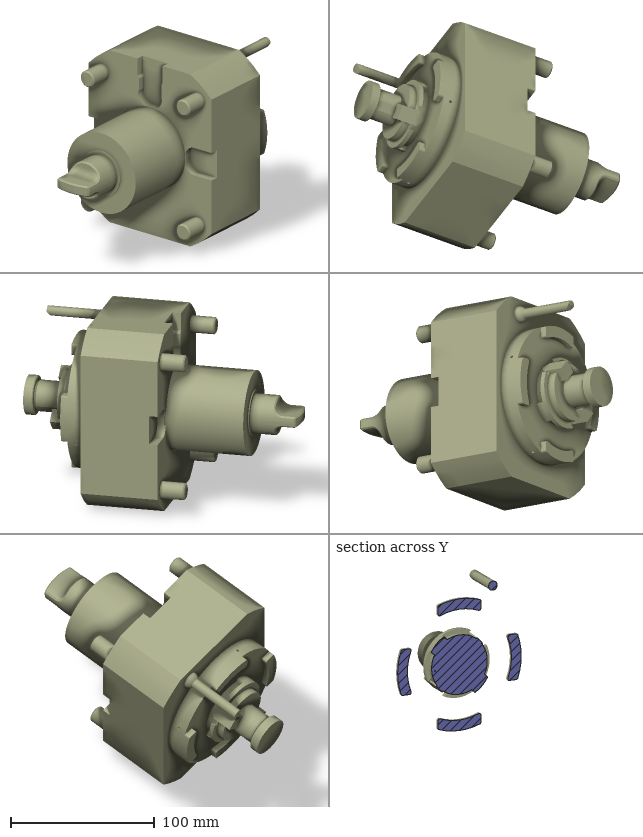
import cadquery as cq
import math


overall_length = 197.5

block_width = 108.0
block_height = 130.0
block_depth = 55.3
corner_round_diameter = 148.1

slot_depth = 6.1
slot_end = 30.8
side_slot_width = 20.7
top_slot_inner_width = 21.0
top_slot_neck_width = 19.8
top_slot_mouth_width = 22.1
top_slot_neck_start = 41.0
top_slot_neck_end = 50.2
top_slot_mouth_start = 52.1
slot_end_flat = 4.3

tube_diameter = 60.0
tube_length = 55.3
groove_diameter = 62.2
groove_depth = 1.0
collar_diameter = 33.5
collar_bore = 28.5
collar_height = 0.8

pin_diameter = 12.0
pin_length = 17.4
pin_chamfer = 1.0
pin_x = 42.0
pin_z = 47.0

shaft_diameter = 28.0
shaft_front = 90.7
blade_thickness = 7.9
blade_fillet = 6.0
blade_shoulder = 73.3
blade_tip_radius = 41.5
blade_chamfer = 1.0

disc_diameter = 96.0
disc_height = 11.8
lug_height = 4.3
lug_width = 33.5
lug_inner_diameter = 80.2
lug_corner_radius = 1.5
radial_hole_diameter = 2.2
radial_hole_depth = 4.0
radial_hole_height = 6.1
radial_hole_angle = 22.5

hub_diameter = 43.5
hub_height = 5.3
flange_diameter = 50.0
flange_height = 3.2
step_diameter = 40.3
step_height = 5.3
diagonal_angle = 45.0

notch_width = 17.4
pad_width = 14.2

tab_height = 5.3
tab_inner = 12.2
tab_outer = 22.3
tab_width = 10.7
tab_point_height = 4.5

neck_diameter = 22.1
neck_flat_distance = 10.5
neck_gap = 0.8
neck_chamfer = 0.8
neck_core_diameter = 20.5
button_height = 6.7
button_chamfer = 0.5

cable_diameter = 7.0
cable_end = 99.3
cable_x = 25.9
cable_z = 54.0
cable_bevel_length = 2.8
cable_bevel_height = 3.5
grommet_radius = 6.0

disc_top = block_depth + disc_height
hub_top = disc_top + hub_height
flange_top = hub_top + flange_height
step_top = flange_top + step_height
tab_top = step_top + tab_height
rear_end = overall_length - shaft_front
button_start = rear_end - button_height


def cylinder(diameter, start, end, x=0, z=0):
    """Cylinder along Y between two Y positions."""
    plane = cq.Workplane("XZ", origin=(x, start, z))
    return plane.circle(diameter / 2).extrude(start - end)


def box(x_range, y_range, z_range):
    """Box given by its limits along each axis."""
    sizes = [high - low for low, high in (x_range, y_range, z_range)]
    corner = cq.Vector(x_range[0], y_range[0], z_range[0])
    return cq.Workplane("XY").box(*sizes, centered=False).translate(corner)


def about_y(shape, angle):
    """Copy of a shape turned about the drive axis."""
    return shape.rotate((0, 0, 0), (0, 1, 0), angle)


def side_slot():
    """Slot from the +X side with rounded inner corners."""
    half = side_slot_width / 2
    radius = half - slot_end_flat / 2
    slot = box((slot_end, block_width), (0, slot_depth), (-half, half))
    return slot.edges("|Y and <X").fillet(radius)


def top_slot():
    """Slot from the top edge, waisted between its rounded end and its mouth."""
    end_half = top_slot_inner_width / 2
    neck_half = top_slot_neck_width / 2
    mouth_half = top_slot_mouth_width / 2
    flat_half = slot_end_flat / 2
    radius = end_half - flat_half
    arc_offset = radius * (1 - math.sqrt(0.5))
    half_slot = (
        cq.Workplane("XZ")
        .moveTo(0, slot_end)
        .lineTo(flat_half, slot_end)
        .threePointArc((end_half - arc_offset, slot_end + arc_offset), (end_half, slot_end + radius))
        .lineTo(neck_half, top_slot_neck_start)
        .lineTo(neck_half, top_slot_neck_end)
        .lineTo(mouth_half, top_slot_mouth_start)
        .lineTo(mouth_half, block_height)
        .lineTo(0, block_height)
        .close()
        .extrude(-slot_depth)
    )
    return half_slot.union(half_slot.mirror("YZ"))


def housing():
    """Block with rounded corners, slots, groove, front tube and pins."""
    half_width = block_width / 2
    half_height = block_height / 2
    body = box((-half_width, half_width), (0, block_depth), (-half_height, half_height))
    body = body.intersect(cylinder(corner_round_diameter, 0, block_depth))
    body = body.cut(side_slot()).cut(about_y(side_slot(), 180)).cut(top_slot())
    body = body.cut(cylinder(groove_diameter, 0, groove_depth))
    body = body.union(cylinder(tube_diameter, -tube_length, groove_depth))
    collar = cylinder(collar_diameter, -tube_length - collar_height, -tube_length)
    collar = collar.cut(cylinder(collar_bore, -tube_length - collar_height, -tube_length))
    body = body.union(collar)
    for x in (-pin_x, pin_x):
        for z in (-pin_z, pin_z):
            pin = cylinder(pin_diameter, -pin_length, slot_depth, x, z)
            body = body.union(pin.faces("<Y").chamfer(pin_chamfer))
    return body


def shaft():
    """Front shaft, milled on both sides to a blade with a curved tip."""
    radius = shaft_diameter / 2
    half_blade = blade_thickness / 2
    arc_offset = blade_fillet * (1 - math.sqrt(0.5))
    body = cylinder(shaft_diameter, -shaft_front, -tube_length)
    tip = cylinder(2 * blade_tip_radius, -radius, radius).rotate((0, 0, 0), (1, 0, 0), 90)
    tip = tip.translate((0, blade_tip_radius - shaft_front, 0))
    body = body.intersect(tip)
    upper_cut = (
        cq.Workplane("YZ")
        .moveTo(-shaft_front, half_blade)
        .lineTo(-blade_shoulder - blade_fillet, half_blade)
        .threePointArc(
            (-blade_shoulder - arc_offset, half_blade + arc_offset),
            (-blade_shoulder, half_blade + blade_fillet),
        )
        .lineTo(-blade_shoulder, radius)
        .lineTo(-shaft_front, radius)
        .close()
        .extrude(radius, both=True)
    )
    body = body.cut(upper_cut).cut(upper_cut.mirror("XY"))
    milled_end = cq.selectors.BoxSelector(
        (-shaft_diameter, -2 * shaft_front, -shaft_diameter),
        (shaft_diameter, -blade_shoulder + blade_chamfer, shaft_diameter),
    )
    return body.edges(milled_end).edges("not(|X)").chamfer(blade_chamfer)


def lug():
    """Lug on the +X side of the disc rim."""
    ring = cylinder(disc_diameter, disc_top, disc_top + lug_height)
    ring = ring.cut(cylinder(lug_inner_diameter, disc_top, disc_top + lug_height))
    half = lug_width / 2
    strip = box((0, disc_diameter), (disc_top, disc_top + lug_height), (-half, half))
    return ring.intersect(strip).edges("|Y").fillet(lug_corner_radius)


def rear_disc():
    """Disc with a lug on each side and radial holes between them."""
    lug_top = disc_top + lug_height
    disc = cylinder(disc_diameter, block_depth, lug_top)
    waste = cylinder(2 * disc_diameter, disc_top, lug_top)
    for quarter in range(4):
        waste = waste.cut(about_y(lug(), 90 * quarter))
    disc = disc.cut(waste)
    hole_bottom = disc_diameter / 2 - radial_hole_depth
    hole = (
        cq.Workplane("YZ", origin=(hole_bottom, block_depth + radial_hole_height, 0))
        .circle(radial_hole_diameter / 2)
        .extrude(2 * radial_hole_depth)
    )
    for quarter in range(4):
        disc = disc.cut(about_y(hole, 90 * quarter - radial_hole_angle))
    return disc


def tab():
    """Catch tab on the +X side of the neck, pointed where it meets the disc."""
    half = tab_width / 2
    point_end = disc_top + tab_point_height
    outline = [
        (disc_top, 0),
        (point_end, half),
        (tab_top, half),
        (tab_top, -half),
        (point_end, -half),
    ]
    plane = cq.Workplane("YZ", origin=(tab_inner, 0, 0))
    return plane.polyline(outline).close().extrude(tab_outer - tab_inner)


def diagonal_bar(width, angle):
    """Bar across the hub, turned about the drive axis from the X direction."""
    half = width / 2
    bar = box((-flange_diameter, flange_diameter), (disc_top, flange_top), (-half, half))
    return about_y(bar, angle)


def hub():
    """Stepped hub with a notched flange, two pads under it and two catch tabs."""
    body = cylinder(hub_diameter, disc_top, flange_top)
    rim = cylinder(flange_diameter, hub_top, flange_top)
    rim = rim.cut(diagonal_bar(notch_width, -diagonal_angle))
    pads = cylinder(flange_diameter, disc_top, flange_top)
    pads = pads.intersect(diagonal_bar(pad_width, diagonal_angle))
    body = body.union(rim).union(pads)
    body = body.union(cylinder(step_diameter, flange_top, step_top))
    for angle in (-diagonal_angle, 180 - diagonal_angle):
        body = body.union(about_y(tab(), angle))
    return body


def neck_and_button():
    """Rear neck with one diagonal flat, ending in a button."""
    neck_start = step_top + neck_gap
    neck_end = button_start - neck_gap
    neck = cylinder(neck_diameter, neck_start, neck_end).faces("|Y").chamfer(neck_chamfer)
    flat = box((neck_flat_distance, neck_diameter), (neck_start, neck_end), (-neck_diameter, neck_diameter))
    neck = neck.cut(about_y(flat, 180 - diagonal_angle))
    core = cylinder(neck_core_diameter, step_top, button_start)
    button = cylinder(shaft_diameter, button_start, rear_end)
    return neck.union(core).union(button.faces("<Y").chamfer(button_chamfer))


def cable():
    """Cable with a bevelled end, rising from a domed grommet."""
    body = cylinder(cable_diameter, block_depth, cable_end, cable_x, cable_z)
    bottom = cable_z - cable_diameter / 2
    bevel = (
        cq.Workplane("YZ")
        .polyline([
            (cable_end - cable_bevel_length, bottom),
            (cable_end, bottom),
            (cable_end, bottom + cable_bevel_height),
        ])
        .close()
        .extrude(block_width)
    )
    grommet = cq.Workplane("XY").sphere(grommet_radius).translate((cable_x, block_depth, cable_z))
    return body.cut(bevel).union(grommet)


result = housing()
for component in (shaft(), rear_disc(), hub(), neck_and_button(), cable()):
    result = result.union(component)